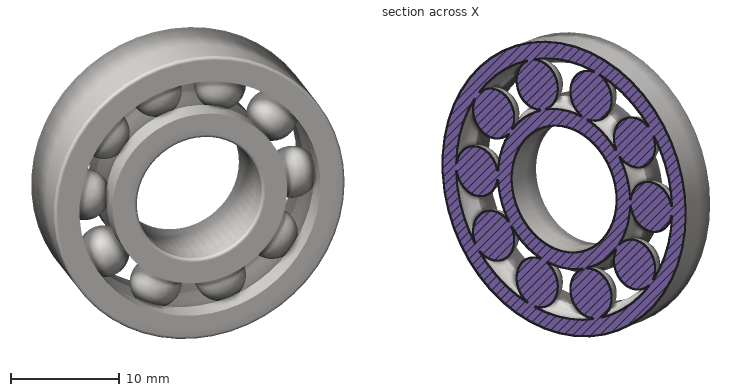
import cadquery as cq
import math


width = 8.0
outer_diameter = 28.0
bore_diameter = 12.0
ring_thickness = 2.4
edge_fillet = 0.3
ball_diameter = 4.8
ball_count = 10
seat_overlap = 0.02

half_width = width / 2
outer_radius = outer_diameter / 2
bore_radius = bore_diameter / 2
pitch_radius = (outer_radius + bore_radius) / 2
ball_radius = ball_diameter / 2
groove_radius = ball_radius - seat_overlap
ball_pitch_angle = 360 / ball_count


def make_ring(plain_radius, shoulder_radius):
    """Ring with one plain filleted cylinder and one shoulder side carrying the ball groove."""
    shoulder_offset = abs(shoulder_radius - pitch_radius)
    groove_half_width = math.sqrt(groove_radius**2 - shoulder_offset**2)
    toward_ring = math.copysign(1, plain_radius - shoulder_radius)
    groove_bottom = pitch_radius + toward_ring * groove_radius

    profile = (
        cq.Workplane("XY")
        .moveTo(-half_width, plain_radius)
        .lineTo(-half_width, shoulder_radius)
        .lineTo(-groove_half_width, shoulder_radius)
        .threePointArc((0, groove_bottom), (groove_half_width, shoulder_radius))
        .lineTo(half_width, shoulder_radius)
        .lineTo(half_width, plain_radius)
        .close()
    )
    ring = profile.revolve(360, (0, 0, 0), (1, 0, 0))

    def is_plain_rim(edge):
        return edge.geomType() == "CIRCLE" and math.isclose(edge.radius(), plain_radius)

    rims = [edge for edge in ring.edges().vals() if is_plain_rim(edge)]
    return ring.newObject(rims).fillet(edge_fillet)


def make_ball(index):
    """Ball on the pitch circle; the first one lies on the +Y axis."""
    return (
        cq.Workplane("XY")
        .sphere(ball_radius)
        .translate((0, pitch_radius, 0))
        .rotate((0, 0, 0), (1, 0, 0), index * ball_pitch_angle)
    )


outer_ring = make_ring(outer_radius, outer_radius - ring_thickness)
inner_ring = make_ring(bore_radius, bore_radius + ring_thickness)

result = outer_ring.union(make_ball(0)).union(inner_ring)
for ball_index in range(1, ball_count):
    result = result.union(make_ball(ball_index))